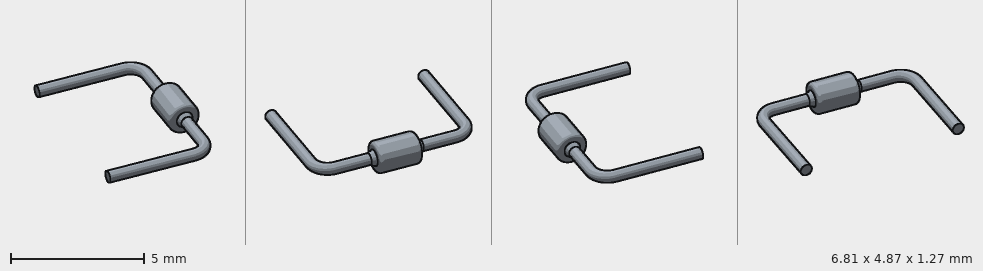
import cadquery as cq

overall_width = 6.81
wire_diameter = 0.47
bend_radius = 0.68
lead_reach = 4.235

body_diameter = 1.27
body_length = 1.76
body_edge_radius = 0.15

collar_length = 0.205
collar_base_diameter = 0.655

wire_radius = wire_diameter / 2
lead_x = overall_width / 2 - wire_radius
bend_x = lead_x - bend_radius


def make_wire():
    """One continuous round wire: down-lead, bend, body axis, bend, down-lead."""
    path = (
        cq.Workplane("XY")
        .moveTo(-lead_x, -lead_reach)
        .lineTo(-lead_x, -bend_radius)
        .tangentArcPoint((-bend_x, 0), relative=False)
        .lineTo(bend_x, 0)
        .tangentArcPoint((lead_x, -bend_radius), relative=False)
        .lineTo(lead_x, -lead_reach)
    )
    return (
        cq.Workplane("XZ", origin=(-lead_x, -lead_reach, 0))
        .circle(wire_radius)
        .sweep(path)
    )


def make_body():
    """Cylinder along X with rounded end edges."""
    return (
        cq.Workplane("YZ", origin=(-body_length / 2, 0, 0))
        .circle(body_diameter / 2)
        .extrude(body_length)
        .edges("%CIRCLE")
        .fillet(body_edge_radius)
    )


def make_collar():
    """Cone tapering from the +X body face down to the wire."""
    face_x = body_length / 2
    tip_x = face_x + collar_length
    return (
        cq.Workplane("XY")
        .moveTo(face_x, 0)
        .lineTo(face_x, collar_base_diameter / 2)
        .lineTo(tip_x, wire_radius)
        .lineTo(tip_x, 0)
        .close()
        .revolve(360, (0, 0, 0), (1, 0, 0))
    )


collar = make_collar()
result = make_body().union(collar).union(collar.mirror("YZ")).union(make_wire())